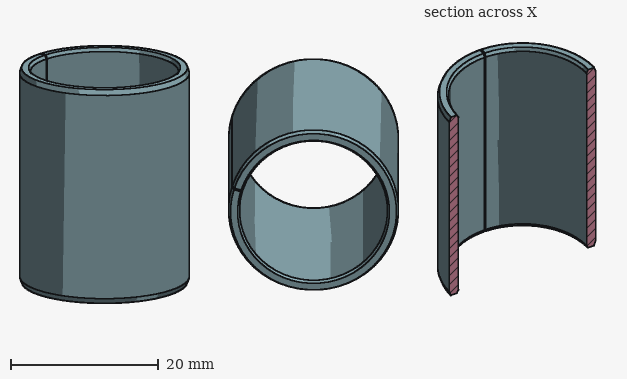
import cadquery as cq
import math

length = 30.0
outer_diameter = 23.0
wall = 1.5
outer_chamfer_height = 0.75
outer_chamfer_angle = 20.0
inner_chamfer_height = 0.5
inner_chamfer_depth = 0.27
seam_width = 0.2

outer_radius = outer_diameter / 2
inner_radius = outer_radius - wall
half_length = length / 2
outer_chamfer_depth = outer_chamfer_height * math.tan(math.radians(outer_chamfer_angle))


def make_half_sleeve():
    """Revolve the upper half of the wall section, chamfered inside and outside at its end."""
    return (
        cq.Workplane("XZ")
        .moveTo(inner_radius, 0)
        .lineTo(outer_radius, 0)
        .lineTo(outer_radius, half_length - outer_chamfer_height)
        .lineTo(outer_radius - outer_chamfer_depth, half_length)
        .lineTo(inner_radius + inner_chamfer_depth, half_length)
        .lineTo(inner_radius, half_length - inner_chamfer_height)
        .close()
        .revolve(360, (0, 0, 0), (0, 1, 0))
    )


def make_seam():
    """Thin radial slab that splits the wall over its full length on the -X side."""
    return cq.Workplane("XY").box(outer_diameter, seam_width, length).translate((-outer_radius, 0, 0))


upper_half = make_half_sleeve()
sleeve = upper_half.union(upper_half.mirror("XY")).clean()
result = sleeve.cut(make_seam())